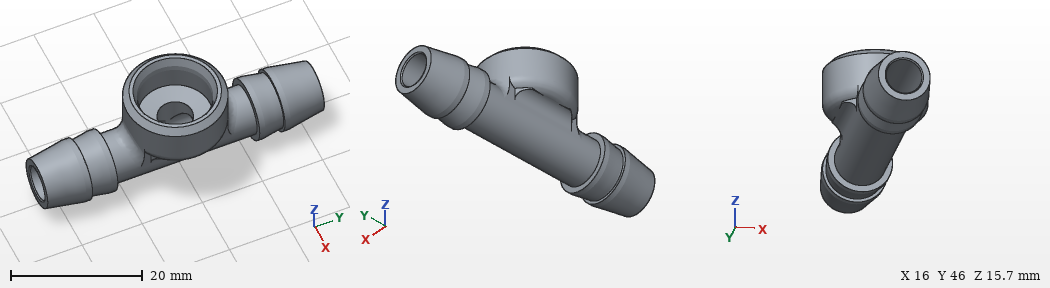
import cadquery as cq
import math

tube_length = 46.0
tube_diameter = 8.0
bore_diameter = 5.5
bore_chamfer = 0.2

barb_diameter = 10.0
barb_land = 1.0
tip_diameter = 8.0
tip_barb_length = 7.0
second_barb_root_diameter = 9.0
second_barb_length = 4.2
root_groove_width = 0.2

boss_diameter = 16.0
boss_height = 8.0
boss_top = 10.7
boss_chamfer = 1.0
blend_radius = 1.88
edge_margin = 0.1

mouth_diameter = 12.8
throat_diameter = 11.6
throat_depth = 1.3
socket_diameter = 11.4
taper_depth = 2.1
socket_depth = 5.7
floor_slope = math.radians(8.0)
port_diameter = 5.5

boss_bottom = boss_top - boss_height


def make_tube():
    """Tube and its four barbs, revolved about Y."""
    end = tube_length / 2
    tip_shoulder = end - tip_barb_length
    inner_shoulder = tip_shoulder - second_barb_length
    half_profile = [
        (tube_diameter / 2, inner_shoulder),
        (barb_diameter / 2, inner_shoulder),
        (barb_diameter / 2, inner_shoulder + barb_land),
        (second_barb_root_diameter / 2, tip_shoulder - root_groove_width),
        (second_barb_root_diameter / 2, tip_shoulder),
        (barb_diameter / 2, tip_shoulder),
        (barb_diameter / 2, tip_shoulder + barb_land),
        (tip_diameter / 2, end),
        (0, end),
    ]
    mirrored_profile = [(radius, -y) for radius, y in reversed(half_profile)]
    outline = cq.Workplane("XY").polyline(mirrored_profile + half_profile).close()
    return outline.revolve(360, (0, 0, 0), (0, 1, 0))


def make_boss():
    """Boss with a rounded lower rim and a chamfered top edge."""
    boss = cq.Workplane("XY").workplane(offset=boss_bottom).circle(boss_diameter / 2).extrude(boss_height)
    boss = boss.faces("<Z").edges().fillet(blend_radius)
    return boss.faces(">Z").edges().chamfer(boss_chamfer)


def make_saddles():
    """Web as wide as the tube, with fillets from the tube up the boss wall at both Y ends."""
    wall = boss_diameter / 2
    height = boss_top - boss_chamfer
    tube_core = cq.Workplane("XZ").circle(tube_diameter / 2).extrude(tube_length / 2, both=True)
    column = cq.Workplane("XY").circle(wall).extrude(height, both=True)
    reach = tube_diameter / 2 + edge_margin
    junction_edges = cq.selectors.BoxSelector((-reach, -wall, -reach), (reach, wall, reach))
    blended = tube_core.union(column).edges(junction_edges).fillet(blend_radius)
    web_prism = cq.Workplane("XY").box(tube_diameter, tube_length, height, centered=(True, True, False))
    return blended.intersect(web_prism)


def make_flares():
    """Concave fillets along both sides of the web, from the tube out to the boss underside."""
    half_width = tube_diameter / 2
    flare_start = boss_bottom - blend_radius
    flare_end_x = half_width + blend_radius
    arc_offset = blend_radius * math.sqrt(0.5)
    inside_boss = boss_bottom + boss_height / 3
    half_outline = (
        cq.Workplane("XZ")
        .lineTo(half_width, 0)
        .lineTo(half_width, flare_start)
        .threePointArc(
            (flare_end_x - arc_offset, flare_start + arc_offset),
            (flare_end_x, boss_bottom),
        )
        .lineTo(flare_end_x, inside_boss)
        .lineTo(0, inside_boss)
        .close()
    )
    half = half_outline.extrude(boss_diameter / 2, both=True)
    flare_end_radius = boss_diameter / 2 - blend_radius / 2
    end_limit = cq.Workplane("XY").circle(flare_end_radius).extrude(inside_boss)
    return half.union(half.mirror("YZ")).intersect(end_limit)


def make_bore():
    """Through bore along Y, lightly chamfered at both ends."""
    end = tube_length / 2
    radius = bore_diameter / 2
    mouth = radius + bore_chamfer
    outline = cq.Workplane("XY").polyline([
        (0, -end),
        (mouth, -end),
        (radius, -end + bore_chamfer),
        (radius, end - bore_chamfer),
        (mouth, end),
        (0, end),
    ]).close()
    return outline.revolve(360, (0, 0, 0), (0, 1, 0))


def make_socket():
    """Socket narrowing in two tapers, with a sloping floor and a port down to the tube bore."""
    floor_edge = boss_top - socket_depth
    port_radius = port_diameter / 2
    floor_drop = (socket_diameter / 2 - port_radius) * math.tan(floor_slope)
    outline = cq.Workplane("XZ").polyline([
        (0, boss_top),
        (mouth_diameter / 2, boss_top),
        (throat_diameter / 2, boss_top - throat_depth),
        (socket_diameter / 2, boss_top - taper_depth),
        (socket_diameter / 2, floor_edge),
        (port_radius, floor_edge - floor_drop),
        (port_radius, 0),
        (0, 0),
    ]).close()
    return outline.revolve(360, (0, 0, 0), (0, 1, 0))


body = make_boss().union(make_flares()).union(make_tube()).union(make_saddles())
result = body.cut(make_bore()).cut(make_socket())